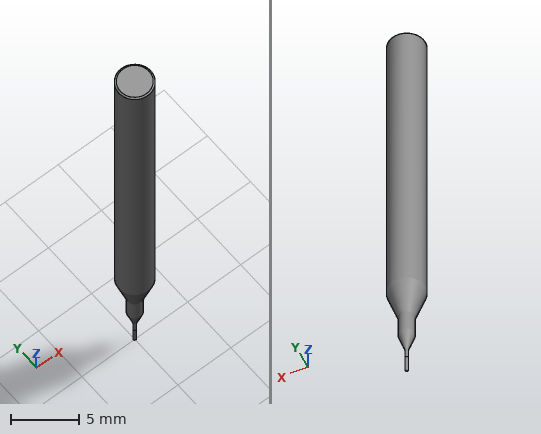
import cadquery as cq

total_length = 37.5

shank_radius = 3.0 / 2
shank_start = 8.97
end_chamfer_width = 0.15
end_chamfer_height = 0.087

middle_radius = 1.27 / 2
upper_cone_start = 6.12
middle_start = 4.08

neck_radius = 0.26 / 2
neck_end = 2.4
cutter_radius = 0.28 / 2
cutter_length = 1.5


def make_holder():
    """Shank, upper cone, middle section, lower cone and neck, turned about Z."""
    profile = (
        cq.Workplane("XZ")
        .moveTo(0, cutter_length)
        .lineTo(neck_radius, cutter_length)
        .lineTo(neck_radius, neck_end)
        .lineTo(middle_radius, middle_start)
        .lineTo(middle_radius, upper_cone_start)
        .lineTo(shank_radius, shank_start)
        .lineTo(shank_radius, total_length - end_chamfer_height)
        .lineTo(shank_radius - end_chamfer_width, total_length)
        .lineTo(0, total_length)
        .close()
    )
    return profile.revolve(360, (0, 0, 0), (0, 1, 0))


def make_cutter():
    """Ball-nosed cutting end that meets the flat end of the neck."""
    profile = (
        cq.Workplane("XZ")
        .moveTo(0, 0)
        .radiusArc((cutter_radius, cutter_radius), -cutter_radius)
        .lineTo(cutter_radius, cutter_length)
        .lineTo(0, cutter_length)
        .close()
    )
    return profile.revolve(360, (0, 0, 0), (0, 1, 0))


holder = make_holder()
cutter = make_cutter()

result = cq.Compound.makeCompound([holder.val(), cutter.val()])